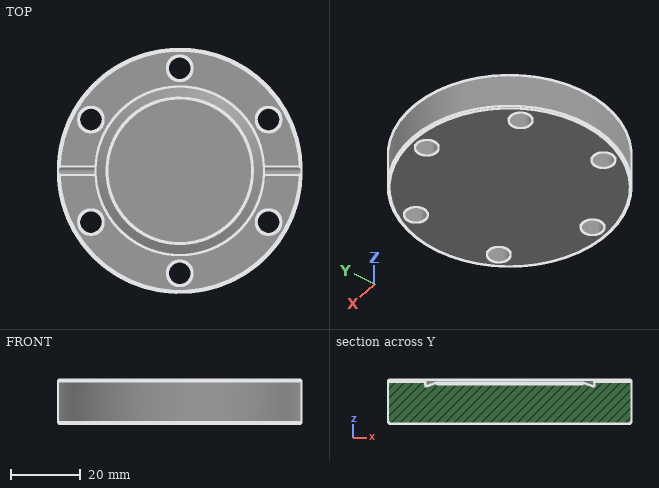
import cadquery as cq
import math

flange_diameter = 69.85
flange_thickness = 12.7
rim_chamfer = 0.5

recess_diameter = 48.3
recess_depth = 1.95
knife_diameter = 41.9
knife_slope_angle = 20.0
knife_height = (recess_diameter - knife_diameter) / 2 * math.tan(math.radians(knife_slope_angle))
knife_tip_depth = recess_depth - knife_height
floor_diameter = 41.5
floor_drop = 0.6

bolt_count = 6
bolt_circle_diameter = 58.7
bolt_hole_diameter = 6.8
bolt_hole_chamfer = 0.25

groove_width = 2.35
groove_depth = 0.6

top_z = flange_thickness


def make_body():
    """Plain disc with both rims chamfered."""
    disc = cq.Workplane("XY").circle(flange_diameter / 2).extrude(flange_thickness)
    return disc.edges().chamfer(rim_chamfer)


def make_recess_cutter():
    """Revolved recess: vertical wall, slope rising inwards to the knife tip, flat central floor."""
    floor_z = top_z - knife_tip_depth - floor_drop
    profile = (
        cq.Workplane("XZ")
        .moveTo(0, top_z)
        .lineTo(recess_diameter / 2, top_z)
        .lineTo(recess_diameter / 2, top_z - recess_depth)
        .lineTo(knife_diameter / 2, top_z - knife_tip_depth)
        .lineTo(floor_diameter / 2, floor_z)
        .lineTo(0, floor_z)
        .close()
    )
    return profile.revolve(360, (0, 0, 0), (0, 1, 0))


def make_groove_cutter():
    """Circular-segment channel across the full diameter."""
    half_width = groove_width / 2
    section = (
        cq.Workplane("YZ")
        .moveTo(-half_width, top_z)
        .threePointArc((0, top_z - groove_depth), (half_width, top_z))
        .close()
    )
    return section.extrude(flange_diameter / 2, both=True)


def make_bolt_hole_cutter():
    """Through holes, the first on the +Y axis, each countersunk at the top face."""
    first_bolt_angle = 90
    hole_radius = bolt_hole_diameter / 2
    hole_profile = (
        cq.Workplane("XZ")
        .moveTo(0, 0)
        .lineTo(hole_radius, 0)
        .lineTo(hole_radius, top_z - bolt_hole_chamfer)
        .lineTo(hole_radius + bolt_hole_chamfer, top_z)
        .lineTo(0, top_z)
        .close()
    )
    hole = hole_profile.revolve(360, (0, 0, 0), (0, 1, 0)).val()
    return (
        cq.Workplane("XY")
        .polarArray(bolt_circle_diameter / 2, first_bolt_angle, 360, bolt_count)
        .eachpoint(hole, combine=False)
    )


result = (
    make_body()
    .cut(make_recess_cutter())
    .cut(make_groove_cutter())
    .cut(make_bolt_hole_cutter())
)